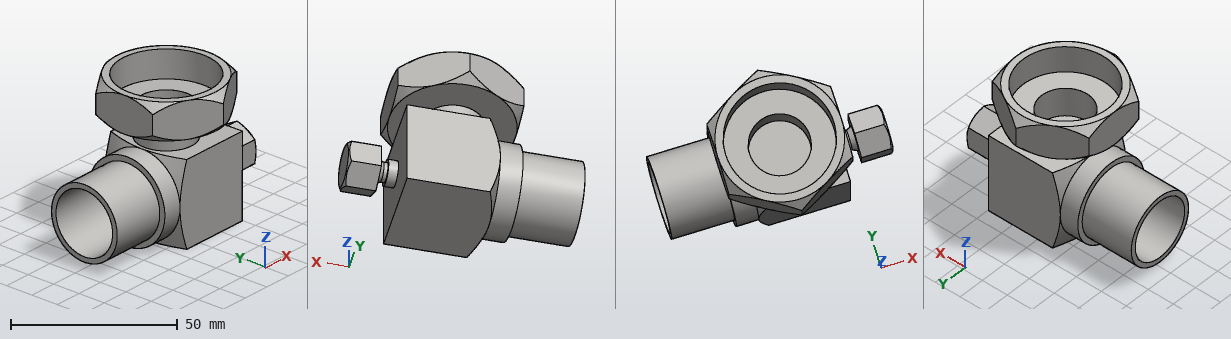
import cadquery as cq
import math


block_width = 30.0
block_start = -11.25
block_end = 17.6
corner_chamfer_length = 3.15
collar_length = 7.0
pipe_length = 19.7
pipe_diameter = 26.0
pipe_bore_diameter = 22.35
pipe_bore_end_diameter = 19.0
pipe_bore_end_length = 0.65

neck_diameter = 20.0
neck_height = 7.95
neck_bore_diameter = 19.0
nut_across_flats = 39.0
nut_height = 13.05
nut_socket_diameter = 34.0
nut_socket_depth = 10.0

port_diameter = 8.3
port_length = 3.0
groove_diameter = 6.2
groove_length = 1.2
flare_diameter = 7.8
flare_length = 1.7

cap_across_flats = 14.0
cap_length = 10.1
cap_end_diameter = 13.05
cap_chamfer_length = 0.85

block_top = block_width / 2
collar_start = block_start - collar_length
pipe_mouth = collar_start - pipe_length
nut_bottom = block_top + neck_height
cap_start = block_end + port_length + groove_length + flare_length
HEX_CORNER_RATIO = 2 / math.sqrt(3)


def rod(diameter, start, length):
    """Cylinder along +X."""
    return cq.Workplane("YZ", origin=(start, 0, 0)).circle(diameter / 2).extrude(length)


def taper(start_diameter, end_diameter, start, length):
    """Truncated cone along +X."""
    outline = [
        (start, 0),
        (start, start_diameter / 2),
        (start + length, end_diameter / 2),
        (start + length, 0),
    ]
    return cq.Workplane("XZ").polyline(outline).close().revolve(360, (0, 0, 0), (1, 0, 0))


def make_block():
    """Square block whose corners are turned down to the collar by a cone."""
    block_length = block_end - block_start
    plane = cq.Workplane("YZ", origin=(block_start, 0, 0))
    block = plane.rect(block_width, block_width).extrude(block_length)
    corner_diameter = block_width * math.sqrt(2)
    cone_end = block_start + corner_chamfer_length
    turned_envelope = taper(block_width, corner_diameter, block_start, corner_chamfer_length)
    turned_envelope = turned_envelope.union(rod(corner_diameter, cone_end, block_end - cone_end))
    return block.intersect(turned_envelope)


def make_housing():
    """Block, collar and pipe stub, with a blind bore that narrows to its flat end inside the block."""
    pipe_bore = rod(pipe_bore_diameter, pipe_mouth, block_start - pipe_mouth)
    bore_end = taper(pipe_bore_diameter, pipe_bore_end_diameter, block_start, pipe_bore_end_length)
    return (
        make_block()
        .union(rod(block_width, collar_start, collar_length))
        .union(rod(pipe_diameter, pipe_mouth, pipe_length))
        .cut(pipe_bore)
        .cut(bore_end)
    )


def make_nut():
    """Hexagon with corners on the Y axis, chamfered at both ends, on a bored neck, with a socket on top."""
    corner_diameter = nut_across_flats * HEX_CORNER_RATIO
    chamfer = (corner_diameter - nut_across_flats) / 2
    plane = cq.Workplane("XY", origin=(0, 0, nut_bottom))
    hexagon = plane.polygon(6, corner_diameter).extrude(nut_height).rotate((0, 0, 0), (0, 0, 1), 90)
    turned_envelope = plane.circle(corner_diameter / 2).extrude(nut_height).edges().chamfer(chamfer)
    neck = plane.circle(neck_diameter / 2).extrude(-neck_height)
    return (
        hexagon.intersect(turned_envelope)
        .union(neck)
        .faces(">Z")
        .workplane()
        .cboreHole(neck_bore_diameter, nut_socket_diameter, nut_socket_depth)
    )


def make_stem():
    """Service port: cylinder, narrow groove and a flare that ends at the cap."""
    groove_start = block_end + port_length
    flare_start = groove_start + groove_length
    return (
        rod(port_diameter, block_end, port_length)
        .union(rod(groove_diameter, groove_start, groove_length))
        .union(taper(groove_diameter, flare_diameter, flare_start, flare_length))
    )


def make_cap():
    """Hexagon cap with corners on the Z axis, chamfered at its outer end."""
    corner_diameter = cap_across_flats * HEX_CORNER_RATIO
    straight_length = cap_length - cap_chamfer_length
    hexagon = (
        cq.Workplane("YZ", origin=(cap_start, 0, 0))
        .polygon(6, corner_diameter)
        .extrude(cap_length)
        .rotate((0, 0, 0), (1, 0, 0), 90)
    )
    turned_envelope = rod(corner_diameter, cap_start, straight_length).union(
        taper(corner_diameter, cap_end_diameter, cap_start + straight_length, cap_chamfer_length)
    )
    return hexagon.intersect(turned_envelope)


housing = make_housing()
nut = make_nut()
stem = make_stem()
cap = make_cap()

result = cq.Compound.makeCompound([housing.val(), nut.val(), stem.val(), cap.val()])